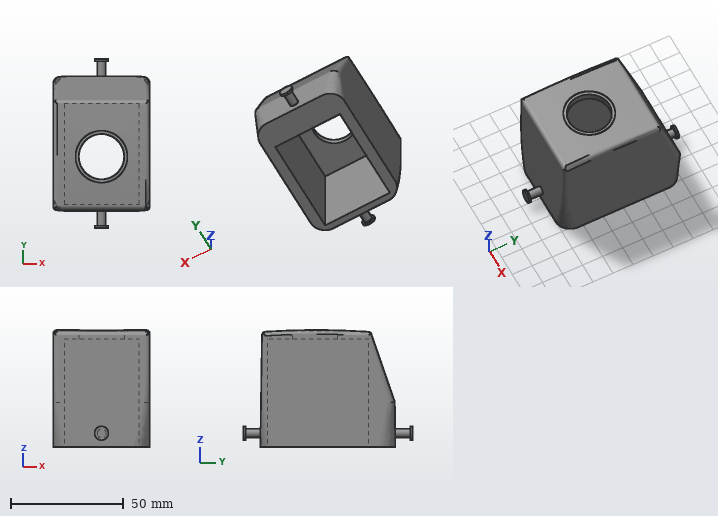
import cadquery as cq
import math

width = 43.0
back_base_y = 29.9
front_base_y = -30.1
front_top_y = -29.3
knee_y = 29.7
knee_z = 19.95
back_top_y = 18.9
shoulder_z = 51.15
crown_z = 52.0
crown_y = (front_top_y + back_top_y) / 2
top_fillet = 1.9
knee_fillet = 3.75

front_corner_radii = [(0, 7.4), (13.5, 3.75), (20.25, 2.7), (31.5, 1.9), (52.5, 1.6)]
back_lower_radii = [(0, 7.3), (knee_z, 3.3)]
back_upper_radii = [(knee_z, 3.3), (33.75, 2.1), (52.5, 1.5)]
cutter_margin = 2.25

entry_y = -5.85
entry_diameter = 20.0
seat_diameter = 23.0
seat_z = 51.6
entry_depth = 3.5
cavity_width = 33.0
cavity_front_y = -27.0
cavity_back_y = 17.85
cavity_height = seat_z - entry_depth

pin_z = 6.15
pin_diameter = 4.0
head_diameter = 6.15
head_thickness = 1.05
pin_span = 75.0
pin_embed = 1.5


def line_y(start, end, z):
    """Y at height z on the straight line through two (y, z) points."""
    return start[0] + (end[0] - start[0]) * (z - start[1]) / (end[1] - start[1])


front_base = (front_base_y, 0)
front_top = (front_top_y, shoulder_z)
back_base = (back_base_y, 0)
knee = (knee_y, knee_z)
back_top = (back_top_y, shoulder_z)


def hood_block():
    """Side profile across the full width, with the knee and roof edges rounded."""
    block = (
        cq.Workplane("YZ")
        .moveTo(*front_base)
        .lineTo(*back_base)
        .lineTo(*knee)
        .lineTo(*back_top)
        .threePointArc((crown_y, crown_z), front_top)
        .close()
        .extrude(width / 2, both=True)
    )
    knee_edge = cq.selectors.NearestToPointSelector((0, knee_y, knee_z))
    return block.edges(knee_edge).fillet(knee_fillet)


def corner_cutter(start, end, outward, radii):
    """Tapering corner rounding at +X; outward is the Y direction away from the hood."""
    sections = []
    for z, radius in radii:
        y = line_y(start, end, z)
        x = width / 2
        inset = radius * (1 - math.sqrt(0.5))
        side_point = cq.Vector(x, y - outward * radius, z)
        arc_middle = cq.Vector(x - inset, y - outward * inset, z)
        end_point = cq.Vector(x - radius, y, z)
        outer_y = y + outward * cutter_margin
        outer_points = [
            cq.Vector(x - radius, outer_y, z),
            cq.Vector(x + cutter_margin, outer_y, z),
            cq.Vector(x + cutter_margin, y - outward * radius, z),
        ]
        arc = cq.Edge.makeThreePointArc(side_point, arc_middle, end_point)
        path = [end_point] + outer_points + [side_point]
        sides = [cq.Edge.makeLine(a, b) for a, b in zip(path, path[1:])]
        sections.append(cq.Wire.assembleEdges([arc] + sides))
    return cq.Workplane(cq.Solid.makeLoft(sections))


def round_corners(body):
    cutters = [
        corner_cutter(front_base, front_top, -1, front_corner_radii),
        corner_cutter(back_base, knee, 1, back_lower_radii),
        corner_cutter(knee, back_top, 1, back_upper_radii),
    ]
    for cutter in cutters:
        body = body.cut(cutter).cut(cutter.mirror("YZ"))
    return body


def round_roof(body):
    roof_edges = body.faces(cq.selectors.NearestToPointSelector((0, crown_y, crown_z))).edges()
    return roof_edges.fillet(top_fillet)


def cavity():
    """Square-cornered, straight-walled interior, open at the bottom."""
    return (
        cq.Workplane("XY", origin=(0, (cavity_front_y + cavity_back_y) / 2, 0))
        .rect(cavity_width, cavity_back_y - cavity_front_y)
        .extrude(cavity_height)
    )


def cable_entry(diameter, bottom_z):
    return (
        cq.Workplane("XY", origin=(0, entry_y, bottom_z))
        .circle(diameter / 2)
        .extrude(crown_z - bottom_z + 0.75)
    )


def locking_pin(side):
    """Headed pin on the +Y (side = 1) or -Y (side = -1) wall."""
    wall_y = line_y(back_base, knee, pin_z) if side > 0 else line_y(front_base, front_top, pin_z)
    tip_y = side * pin_span / 2
    shank_length = abs(tip_y - wall_y) + pin_embed
    plane = cq.Plane(origin=(0, tip_y, pin_z), xDir=(1, 0, 0), normal=(0, -side, 0))
    shank = cq.Workplane(plane).circle(pin_diameter / 2).extrude(shank_length)
    head = cq.Workplane(plane).circle(head_diameter / 2).extrude(head_thickness)
    return shank.union(head)


result = round_corners(round_roof(hood_block()))
result = result.cut(cavity())
result = result.cut(cable_entry(entry_diameter, 0))
result = result.cut(cable_entry(seat_diameter, seat_z))
for side in (1, -1):
    result = result.union(locking_pin(side))